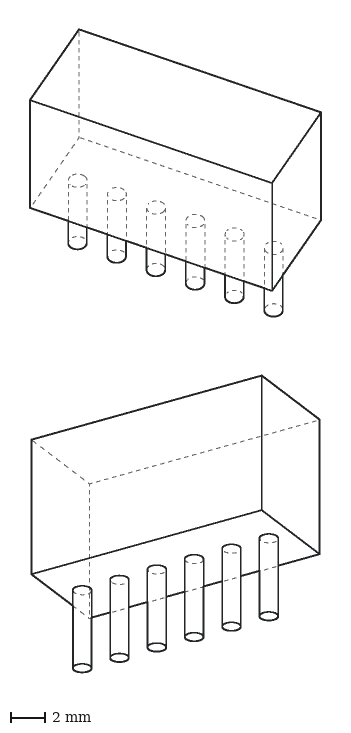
import cadquery as cq

housing_length = 15.64
housing_width = 6.5
housing_height = 8.8

pin_count = 6
pin_pitch = 2.53
pin_diameter = 1.1
pin_length = 5.1


def make_housing():
    """Plain block with its underside on Z = 0."""
    return cq.Workplane("XY").box(
        housing_length, housing_width, housing_height, centered=(True, True, False)
    )


def make_pin(x):
    """Round pin hanging from the underside of the housing at position x."""
    return cq.Workplane("XY").center(x, 0).circle(pin_diameter / 2).extrude(-pin_length)


housing = make_housing()

first_pin_x = -pin_pitch * (pin_count - 1) / 2
pins = [make_pin(first_pin_x + i * pin_pitch) for i in range(pin_count)]

result = cq.Compound.makeCompound([housing.val(), *[pin.val() for pin in pins]])